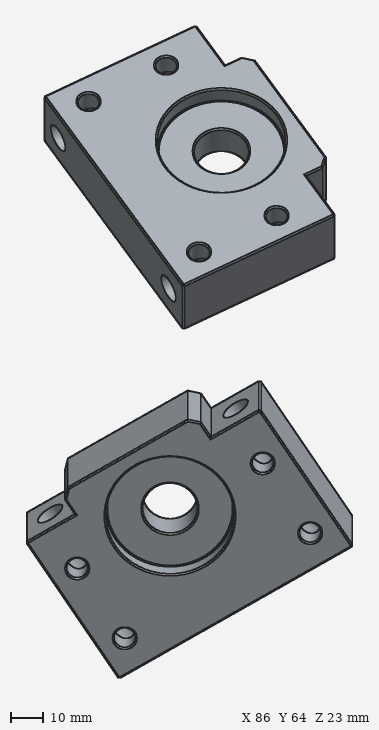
import cadquery as cq
import math

WIDTH = 86.0
DEPTH = 64.0
HEIGHT = 23.0
SHOULDER_Y = 55.0
TONGUE_WIDTH = 50.0
TONGUE_CORNER = 3.0
EDGE_CHAMFER = 0.5

BORE_Y = 39.05
BORE_DIAMETER = 17.0
SEAT_DIAMETER = 40.0
SEAT_DEPTH = 5.5
GROOVE_WIDTH = 0.5
GROOVE_DEPTH = 0.3

HOLE_SPACING_X = 68.0
HOLE_SPACING_Y = 28.0
VERTICAL_HOLE_DIAMETER = 6.6
CROSS_HOLE_DIAMETER = 9.0

CENTER_X = WIDTH / 2
HOLE_COLUMNS = (CENTER_X - HOLE_SPACING_X / 2, CENTER_X + HOLE_SPACING_X / 2)
HOLE_ROWS = (BORE_Y - HOLE_SPACING_Y, BORE_Y)


def make_body():
    """Rectangular block with a corner-cut tongue at the back and all outer edges broken."""
    tongue_left = CENTER_X - TONGUE_WIDTH / 2
    tongue_right = CENTER_X + TONGUE_WIDTH / 2
    outline = [
        (0, 0),
        (WIDTH, 0),
        (WIDTH, SHOULDER_Y),
        (tongue_right, SHOULDER_Y),
        (tongue_right, DEPTH - TONGUE_CORNER),
        (tongue_right - TONGUE_CORNER, DEPTH),
        (tongue_left + TONGUE_CORNER, DEPTH),
        (tongue_left, DEPTH - TONGUE_CORNER),
        (tongue_left, SHOULDER_Y),
        (0, SHOULDER_Y),
    ]
    block = cq.Workplane("XY").polyline(outline).close().extrude(HEIGHT)
    block = block.edges("|Z and (<X or >X)").chamfer(EDGE_CHAMFER)
    return block.faces("<Z or >Z").edges().chamfer(EDGE_CHAMFER)


def revolved_cutter(x, y, profile):
    """Upright solid of revolution at (x, y) from a list of (radius, height) points."""
    return (
        cq.Workplane("XZ", origin=(x, y, 0))
        .polyline(profile)
        .close()
        .revolve(360, (0, 0), (0, 1))
    )


def hole_cutter(x, y, diameter, bottom, top):
    """Hole between two horizontal faces, with a chamfer at both mouths."""
    radius = diameter / 2
    mouth_radius = radius + EDGE_CHAMFER
    profile = [
        (0, bottom),
        (mouth_radius, bottom),
        (radius, bottom + EDGE_CHAMFER),
        (radius, top - EDGE_CHAMFER),
        (mouth_radius, top),
        (0, top),
    ]
    return revolved_cutter(x, y, profile)


def seat_cutter(mouth, floor):
    """Bearing seat with a chamfered mouth and a shallow relief groove around its floor."""
    inward = math.copysign(1, floor - mouth)
    wall_radius = SEAT_DIAMETER / 2
    floor_radius = wall_radius - GROOVE_WIDTH
    groove_bottom = floor + inward * GROOVE_DEPTH
    profile = [
        (0, mouth),
        (wall_radius + EDGE_CHAMFER, mouth),
        (wall_radius, mouth + inward * EDGE_CHAMFER),
        (wall_radius, groove_bottom),
        (floor_radius, groove_bottom),
        (floor_radius, floor),
        (0, floor),
    ]
    return revolved_cutter(CENTER_X, BORE_Y, profile)


result = make_body()

lower_floor = SEAT_DEPTH
upper_floor = HEIGHT - SEAT_DEPTH
result = result.cut(seat_cutter(HEIGHT, upper_floor))
result = result.cut(seat_cutter(0, lower_floor))
result = result.cut(hole_cutter(CENTER_X, BORE_Y, BORE_DIAMETER, lower_floor, upper_floor))

for hole_x in HOLE_COLUMNS:
    for hole_y in HOLE_ROWS:
        result = result.cut(hole_cutter(hole_x, hole_y, VERTICAL_HOLE_DIAMETER, 0, HEIGHT))

for hole_x in HOLE_COLUMNS:
    cross_hole = (
        cq.Workplane("XZ", origin=(hole_x, 0, HEIGHT / 2))
        .circle(CROSS_HOLE_DIAMETER / 2)
        .extrude(-DEPTH)
    )
    result = result.cut(cross_hole)